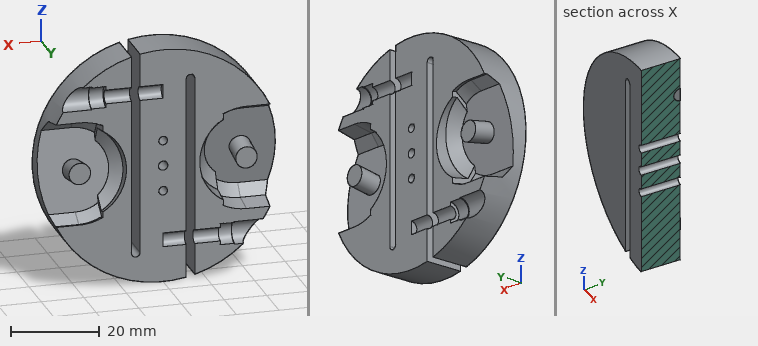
import cadquery as cq

disc_diameter = 55.75
disc_radius = disc_diameter / 2
thickness = 10.0

slot_offset = 6.4
slot_width = 2.0
slot_tip = 21.3

center_hole_diameter = 2.2
side_hole_diameter = 2.0
side_hole_offset = 6.0

axle_x = -19.5
axle_diameter = 5.0
axle_tilt = 10.0
pocket_depth = 5.6
rim_depth = 3.0
outer_rim_radius = 12.1
outer_floor_radius = 9.7
inner_rim_radius = 10.9
inner_floor_radius = 8.3
ledge_x = axle_x + 5.4
overshoot = 3.35

screw_z = -17.85
mouth_diameter = 5.4
mouth_end_x = -16.7
head_diameter = 5.0
head_end_x = -13.4
shank_diameter = 3.25
shank_end_x = 0.0


def cylinder_along_y(diameter, x, z):
    """Cylinder through the full thickness."""
    return cq.Workplane("XZ", origin=(x, 0, z)).circle(diameter / 2).extrude(thickness)


def slot():
    """Slot on the -X side: round top end, open at the bottom."""
    arc_z = slot_tip - slot_width / 2
    left = -slot_offset - slot_width / 2
    right = -slot_offset + slot_width / 2
    return (
        cq.Workplane("XZ")
        .moveTo(left, -disc_diameter)
        .lineTo(left, arc_z)
        .threePointArc((-slot_offset, slot_tip), (right, arc_z))
        .lineTo(right, -disc_diameter)
        .close()
        .extrude(thickness)
    )


def wheel_solid(rim_radius, floor_radius):
    """Wheel with a chamfered rim, its axle on Z and its floor at pocket_depth."""
    return (
        cq.Workplane("XZ")
        .polyline([
            (0, -overshoot),
            (rim_radius, -overshoot),
            (rim_radius, rim_depth),
            (floor_radius, pocket_depth),
            (0, pocket_depth),
        ])
        .close()
        .revolve(360, (0, 0, 0), (0, 1, 0))
    )


def wheel_entry():
    """Straight channel of the wheel's section, from the axle out through the rim."""
    return (
        cq.Workplane("YZ")
        .polyline([
            (-outer_rim_radius, -overshoot),
            (-outer_rim_radius, rim_depth),
            (-outer_floor_radius, pocket_depth),
            (outer_floor_radius, pocket_depth),
            (outer_rim_radius, rim_depth),
            (outer_rim_radius, -overshoot),
        ])
        .close()
        .extrude(-disc_radius)
    )


def wheel_pocket():
    """Tilted pocket with a ledge at ledge_x and the axle left standing in it."""
    ledge_limit = cq.Workplane("XY").box(
        disc_diameter, disc_diameter, disc_diameter
    ).translate((ledge_x - axle_x - disc_radius, 0, 0))
    axle = (
        cq.Workplane("XY", origin=(0, 0, -overshoot))
        .circle(axle_diameter / 2)
        .extrude(pocket_depth + overshoot)
    )
    wide_part = wheel_solid(outer_rim_radius, outer_floor_radius).intersect(ledge_limit)
    pocket = (
        wheel_solid(inner_rim_radius, inner_floor_radius)
        .union(wide_part)
        .union(wheel_entry())
        .cut(axle)
    )
    return pocket.rotate((0, 0, 0), (1, 0, 0), 90 - axle_tilt).translate((axle_x, 0, 0))


def screw_bore():
    """Stepped bore along X that crosses the slot on the -X side."""
    bore = cq.Workplane("YZ", origin=(-disc_radius, 0, screw_z))
    mouth = bore.circle(mouth_diameter / 2).extrude(mouth_end_x + disc_radius)
    head = bore.circle(head_diameter / 2).extrude(head_end_x + disc_radius)
    shank = bore.circle(shank_diameter / 2).extrude(shank_end_x + disc_radius)
    return mouth.union(head).union(shank)


result = cylinder_along_y(disc_diameter, 0, 0)

for feature in (slot(), wheel_pocket(), screw_bore()):
    for angle in (0, 180):
        result = result.cut(feature.rotate((0, 0, 0), (0, 1, 0), angle))

result = result.cut(cylinder_along_y(center_hole_diameter, 0, 0))
for hole_z in (-side_hole_offset, side_hole_offset):
    result = result.cut(cylinder_along_y(side_hole_diameter, 0, hole_z))